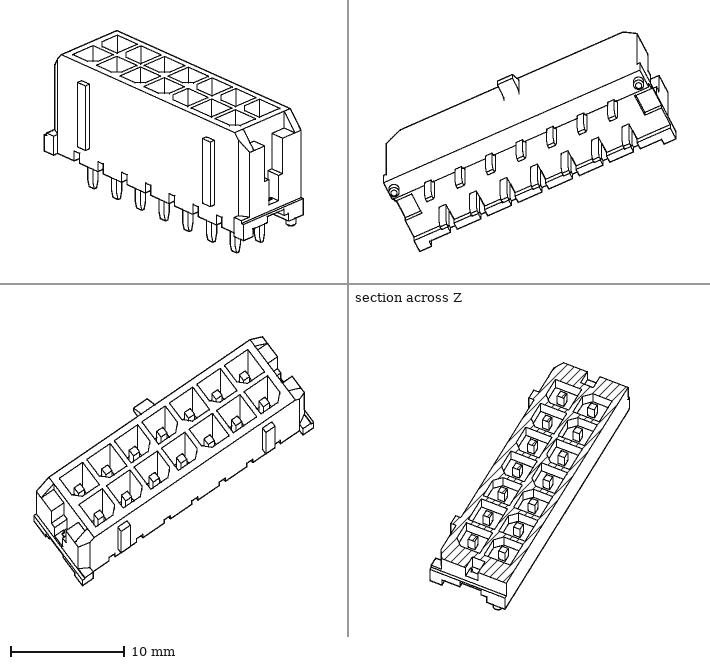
import cadquery as cq
import math


columns = 7
pitch = 3.0
pin_width = 0.65
pin_top = 7.8
pin_bottom = -3.17
pin_taper_length = 0.73
pin_tip_width = 0.3

housing_length = 24.6
front_y = -3.5
back_y = 3.4
housing_height = 9.9
shoulder_z = 8.25
end_wall_x = 10.95
corner_x = 11.4
corner_y = -2.97
front_overhang = 0.5

socket_width = 2.55
socket_chamfer = 0.68
socket_floor = 2.26
right_key = "right"
left_key = "left"
no_key = "none"
front_keys = [right_key, right_key, right_key, right_key, left_key, no_key, right_key]
back_keys = [left_key, left_key, right_key, right_key, left_key, left_key, left_key]

back_cheek = 0.75
front_cheek = 1.05
wide_slot_width = 2.21
wide_slot_floor = 4.75
narrow_slot_width = 1.2
narrow_slot_floor = 2.26
pit_depth = 0.25
pit_neck_width = 0.83
pit_neck_x = 11.65
pit_step_x = 11.35

base_length = 25.15
base_height = 1.6
foot_height = 1.89
channel_front_y = -2.82
channel_back_y = 1.58
channel_height = 0.75
end_recess_width = 2.05
end_recess_top = 1.35
pin_slot_height = 0.98

rib_x = 7.87
rib_width = 1.0
latch_width = 1.48
latch_reach = 1.38
latch_top = 9.33
latch_nose_top = 7.8
latch_nose_bottom = 6.97
latch_fillet = 0.6
peg_x = 12.0
peg_y = 2.45
peg_diameter = 0.9
peg_length = 0.85
peg_chamfer = 0.18

column_xs = [(i - (columns - 1) / 2) * pitch for i in range(columns)]
row_ys = [-pitch / 2, pitch / 2]
half_housing = housing_length / 2
half_base = base_length / 2
foot_front_y = front_y - front_overhang


def block(x0, x1, y0, y1, z0, z1):
    """Box between two opposite corners."""
    return cq.Workplane("XY").box(x1 - x0, y1 - y0, z1 - z0, centered=False).translate((x0, y0, z0))


def both_ends(shape):
    """The shape at the +X end joined to its mirror image at the -X end."""
    return shape.union(shape.mirror("YZ"))


def housing_body():
    """Block with sloped upper ends and chamfered front corners standing on the feet."""
    side_outline = [
        (-half_housing, 0),
        (half_housing, 0),
        (half_housing, shoulder_z),
        (end_wall_x, housing_height),
        (-end_wall_x, housing_height),
        (-half_housing, shoulder_z),
    ]
    body = cq.Workplane("XZ").polyline(side_outline).close().extrude(back_y - front_y)
    body = body.translate((0, back_y, 0))
    corner = (
        cq.Workplane("XY")
        .polyline([(half_housing, corner_y), (half_housing, front_y), (corner_x, front_y)])
        .close()
        .extrude(housing_height)
    )
    return body.cut(both_ends(corner))


def base():
    """Thin end plates and the front feet, both standing proud of the housing."""
    plate = block(end_wall_x, half_base, corner_y, back_y, 0, base_height)
    foot_tip = block(corner_x, half_base, foot_front_y, corner_y, 0, base_height)
    foot = block(corner_x, half_housing, foot_front_y, corner_y, 0, foot_height)
    return both_ends(plate.union(foot_tip).union(foot))


def end_cutouts():
    """Space between the cheeks, the stepped slot below it, its floor pit and the base recess."""
    half_wide = wide_slot_width / 2
    half_narrow = narrow_slot_width / 2
    half_neck = pit_neck_width / 2
    half_recess = end_recess_width / 2
    pit_floor = narrow_slot_floor - pit_depth
    cheek_gap = block(
        end_wall_x, half_base, front_y + front_cheek, back_y - back_cheek, shoulder_z, housing_height
    )
    wide_slot = block(end_wall_x, half_base, -half_wide, half_wide, wide_slot_floor, housing_height)
    narrow_slot = block(
        end_wall_x, half_base, -half_narrow, half_narrow, narrow_slot_floor, housing_height
    )
    pit = block(end_wall_x, pit_step_x, -half_narrow, half_narrow, pit_floor, narrow_slot_floor)
    pit_neck = block(end_wall_x, pit_neck_x, -half_neck, half_neck, pit_floor, narrow_slot_floor)
    recess = block(end_wall_x, half_base, -half_recess, half_recess, 0, end_recess_top)
    cutouts = cheek_gap.union(wide_slot).union(narrow_slot).union(pit).union(pit_neck).union(recess)
    return both_ends(cutouts)


def socket(x, y, key):
    """Square socket whose front corner on the keyed side is cut off."""
    half_width = socket_width / 2
    opening = block(-half_width, half_width, -half_width, half_width, socket_floor, housing_height)
    if key == right_key:
        opening = opening.edges("|Z and >X and <Y").chamfer(socket_chamfer)
    elif key == left_key:
        opening = opening.edges("|Z and <X and <Y").chamfer(socket_chamfer)
    return opening.translate((x, y, 0))


def pin(x, y):
    """Square pin with a lower tip tapered across Y."""
    half_width = pin_width / 2
    half_tip = pin_tip_width / 2
    taper_z = pin_bottom + pin_taper_length
    outline = [
        (-half_width, pin_top),
        (-half_width, taper_z),
        (-half_tip, pin_bottom),
        (half_tip, pin_bottom),
        (half_width, taper_z),
        (half_width, pin_top),
    ]
    blank = cq.Workplane("YZ").polyline(outline).close().extrude(half_width, both=True)
    return blank.translate((x, y, 0))


def rib(x):
    """Upright rib on the front wall."""
    return block(x - rib_width / 2, x + rib_width / 2, foot_front_y, front_y, foot_height, shoulder_z)


def latch():
    """Ramped latch on the back wall, with a hollow fillet under its nose."""
    nose_y = back_y + latch_reach
    fillet_z = latch_nose_bottom - latch_fillet
    fillet_mid = latch_fillet * (1 - math.sqrt(0.5))
    profile = (
        cq.Workplane("YZ")
        .moveTo(back_y, latch_top)
        .lineTo(nose_y, latch_nose_top)
        .lineTo(nose_y, latch_nose_bottom)
        .lineTo(back_y + latch_fillet, latch_nose_bottom)
        .threePointArc((back_y + fillet_mid, latch_nose_bottom - fillet_mid), (back_y, fillet_z))
        .close()
    )
    return profile.extrude(latch_width / 2, both=True)


def pegs():
    """Round locating pegs under both ends."""
    peg = cq.Workplane("XY").circle(peg_diameter / 2).extrude(-peg_length)
    peg = peg.faces("<Z").chamfer(peg_chamfer)
    return both_ends(peg.translate((peg_x, peg_y, 0)))


result = housing_body().union(base()).cut(end_cutouts())

result = result.cut(block(-half_base, half_base, channel_front_y, channel_back_y, 0, channel_height))

half_slot = pin_width / 2
slot_end_y = row_ys[0] - half_slot
for x in column_xs:
    result = result.cut(block(x - half_slot, x + half_slot, front_y, slot_end_y, 0, pin_slot_height))

for y, keys in zip(row_ys, [front_keys, back_keys]):
    for x, key in zip(column_xs, keys):
        result = result.cut(socket(x, y, key)).union(pin(x, y))

for x in [-rib_x, rib_x]:
    result = result.union(rib(x))

result = result.union(latch()).union(pegs()).clean()